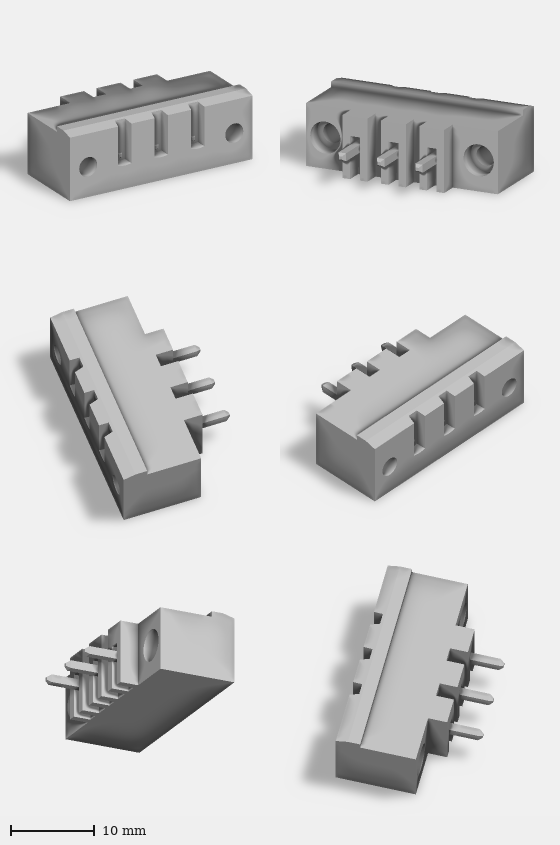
import cadquery as cq
import math

total_length = 16.2
total_width = 25.4
total_height = 8.6

pin_count = 3
pin_pitch = 5.08
pin_axis_height = 3.9
pin_size = 1.0
pin_tip_size = 0.4
pin_taper_length = 0.5
mating_tip_x = 15.2

pillar_front_x = 4.0
pillar_width = 3.3
housing_rear_x = 6.35
pillar_root_x = 6.2
housing_top = 7.9

ridge_start_x = 13.2
ridge_slope_start_x = 14.7
ridge_slope_drop = 0.4

slot_width = 1.3
slot_top = 5.4
slot_sill_height = 0.83

flange_hole_offset = 2 * pin_pitch
flange_hole_height = pin_axis_height
flange_hole_diameter = 2.5
counterbore_diameter = 4.0
counterbore_depth = 2.0

socket_floor_x = 15.05
socket_floor_width = 1.4
socket_mouth_width = 1.84
socket_floor_half_angle = 16

pin_positions = [(i - (pin_count - 1) / 2) * pin_pitch for i in range(pin_count)]
pillar_row_width = pin_positions[-1] - pin_positions[0] + pillar_width


def block(x_start, x_end, y_center, width, z_start, z_end):
    """Box between two X and two Z planes, centred on y_center."""
    box = cq.Workplane("XY").box(x_end - x_start, width, z_end - z_start, centered=(False, True, False))
    return box.translate((x_start, y_center, z_start))


def make_housing():
    """Long block with the raised, sloped ridge along its mating edge."""
    return (
        cq.Workplane("XZ")
        .moveTo(housing_rear_x, 0)
        .lineTo(total_length, 0)
        .lineTo(total_length, total_height - ridge_slope_drop)
        .lineTo(ridge_slope_start_x, total_height)
        .lineTo(ridge_start_x, total_height)
        .lineTo(ridge_start_x, housing_top)
        .lineTo(housing_rear_x, housing_top)
        .close()
        .extrude(total_width / 2, both=True)
    )


def make_pillars():
    """Full-height pillars behind the housing, joined by a thin web at their roots."""
    pillars = block(pillar_root_x, housing_rear_x, 0, pillar_row_width, 0, housing_top)
    for y in pin_positions:
        pillars = pillars.union(block(pillar_front_x, housing_rear_x, y, pillar_width, 0, housing_top))
    return pillars


def make_pin_slot(y):
    """Slot around a solder pin, open at the underside, with a shallow sill at its lower end."""
    sill = block(pillar_front_x, pillar_root_x, y, slot_width, 0, slot_sill_height)
    recess = block(pillar_front_x, housing_rear_x, y, slot_width, slot_sill_height, slot_top)
    return sill.union(recess)


def make_flange_hole(y):
    """Through hole along X, counterbored from the rear face of the housing."""
    start = cq.Workplane("YZ", origin=(housing_rear_x, y, flange_hole_height))
    hole = start.circle(flange_hole_diameter / 2).extrude(total_length - housing_rear_x)
    counterbore = start.circle(counterbore_diameter / 2).extrude(counterbore_depth)
    return hole.union(counterbore)


def socket_outline(plane, width):
    """Outline around the pin axis: straight sides up past the ridge and a shallow curved bottom."""
    half_width = width / 2
    arc_sag = half_width * math.tan(math.radians(socket_floor_half_angle / 2))
    arc_end = arc_sag - half_width
    side_top = total_height - pin_axis_height
    return (
        plane.moveTo(-half_width, side_top)
        .lineTo(-half_width, arc_end)
        .threePointArc((0, -half_width), (half_width, arc_end))
        .lineTo(half_width, side_top)
        .close()
    )


def make_socket(y):
    """Pocket around a pin in the mating face, widening toward +X and open through the ridge."""
    pocket_floor = cq.Workplane("YZ", origin=(socket_floor_x, y, pin_axis_height))
    outline = socket_outline(pocket_floor, socket_floor_width)
    mouth = outline.workplane(offset=total_length - socket_floor_x)
    return socket_outline(mouth, socket_mouth_width).loft(ruled=True)


def make_pin_tip(x_root, x_tip):
    """Square pyramid frustum tapering from the pin shank at x_root to its tip at x_tip."""
    return (
        cq.Workplane("YZ", origin=(x_root, 0, 0))
        .rect(pin_size, pin_size)
        .workplane(offset=x_tip - x_root)
        .rect(pin_tip_size, pin_tip_size)
        .loft(ruled=True)
    )


def make_pin():
    """Square pin along X with a tapered tip at each end."""
    shank_start = pin_taper_length
    shank_end = mating_tip_x - pin_taper_length
    shank = block(shank_start, shank_end, 0, pin_size, -pin_size / 2, pin_size / 2)
    return shank.union(make_pin_tip(shank_start, 0)).union(make_pin_tip(shank_end, mating_tip_x))


part = make_housing().union(make_pillars())

for side in (-1, 1):
    part = part.cut(make_flange_hole(side * flange_hole_offset))

for pin_y in pin_positions:
    part = part.cut(make_pin_slot(pin_y)).cut(make_socket(pin_y))
    part = part.union(make_pin().translate((0, pin_y, pin_axis_height)))

result = part